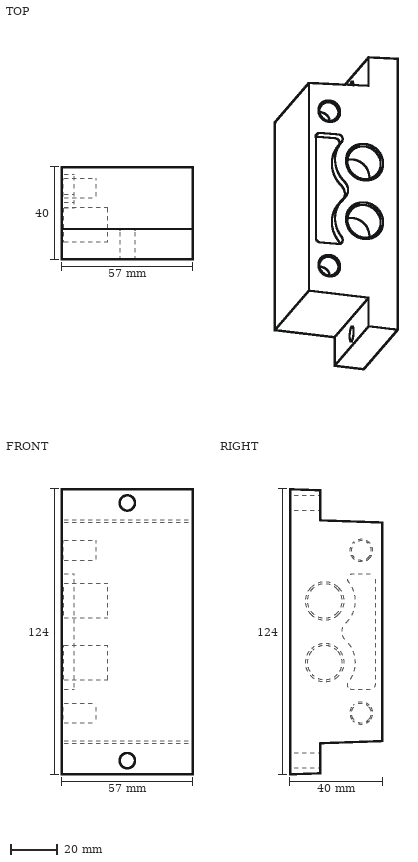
import cadquery as cq
import math

width = 57.0
depth = 40.0
length = 124.0
half_length = length / 2

flange_depth = 13.1
body_half_length = 48.5
draft = math.tan(math.radians(2))

mount_diameter = 6.6
mount_spacing = 112.0

main_diameter = 15.0
main_chamfer = 0.9
main_depth = 19.8
main_y = 15.0
main_half_pitch = 13.4
pilot_diameter = 8.5
pilot_chamfer = 0.6
pilot_depth = 14.9
pilot_y = 30.9
pilot_half_pitch = 35.3

pocket_depth = 5.5
pocket_back_y = 37.0
pocket_half_length = 25.0
pocket_corner = 2.0
scallop_radius = 13.3
lobe_radius = 5.0

left_x = -width / 2
side_plane = cq.Plane(origin=(left_x, 0, 0), xDir=(0, 1, 0), normal=(1, 0, 0))


def make_block():
    flange_end = half_length - draft * flange_depth
    body_end = body_half_length - draft * (depth - flange_depth)
    upper = [
        (0, half_length),
        (flange_depth, flange_end),
        (flange_depth, body_half_length),
        (depth, body_end),
    ]
    lower = [(y, -z) for y, z in reversed(upper)]
    return cq.Workplane(side_plane).polyline(upper + lower).close().extrude(width)


def mounting_holes():
    centres = [(0, mount_spacing / 2), (0, -mount_spacing / 2)]
    return cq.Workplane("XZ").pushPoints(centres).circle(mount_diameter / 2).extrude(-flange_depth)


def blind_ports(diameter, hole_depth, chamfer, y, half_pitch):
    """A pair of blind holes with countersunk mouths, mirrored about mid-length."""
    radius = diameter / 2
    ports = cq.Workplane(side_plane)
    for z in (half_pitch, -half_pitch):
        mouth = cq.Solid.makeCone(
            radius + chamfer, radius, chamfer, cq.Vector(left_x, y, z), cq.Vector(1, 0, 0)
        )
        bore = cq.Solid.makeCylinder(radius, hole_depth, cq.Vector(left_x, y, z), cq.Vector(1, 0, 0))
        ports = ports.add(bore.fuse(mouth))
    return ports.combine()


def pocket():
    lobe_y = main_y + math.sqrt((scallop_radius + lobe_radius) ** 2 - main_half_pitch**2)
    corner_z = pocket_half_length - pocket_corner
    corner_reach = scallop_radius + pocket_corner
    corner_y = main_y + math.sqrt(corner_reach**2 - (corner_z - main_half_pitch) ** 2)

    def on_scallop(y, z):
        """Point where the scallop meets the arc centred at (y, z)."""
        run = math.hypot(y - main_y, z - main_half_pitch)
        share = scallop_radius / run
        return main_y + (y - main_y) * share, main_half_pitch + (z - main_half_pitch) * share

    def mirrored(point):
        return point[0], -point[1]

    lobe_join = on_scallop(lobe_y, 0)
    corner_join = on_scallop(corner_y, corner_z)
    scallop_middle = (main_y + scallop_radius, main_half_pitch)
    corner_side = (corner_y - pocket_corner, corner_z)
    corner_end = (corner_y, pocket_half_length)
    outline = (
        cq.Workplane(side_plane)
        .moveTo(pocket_back_y, -pocket_half_length)
        .lineTo(pocket_back_y, pocket_half_length)
        .lineTo(*corner_end)
        .threePointArc(corner_side, corner_join)
        .threePointArc(scallop_middle, lobe_join)
        .threePointArc((lobe_y - lobe_radius, 0), mirrored(lobe_join))
        .threePointArc(mirrored(scallop_middle), mirrored(corner_join))
        .threePointArc(mirrored(corner_side), mirrored(corner_end))
        .close()
    )
    return outline.extrude(pocket_depth).edges("|X").edges(">Y").fillet(pocket_corner)


result = (
    make_block()
    .cut(mounting_holes())
    .cut(blind_ports(main_diameter, main_depth, main_chamfer, main_y, main_half_pitch))
    .cut(blind_ports(pilot_diameter, pilot_depth, pilot_chamfer, pilot_y, pilot_half_pitch))
    .cut(pocket())
)